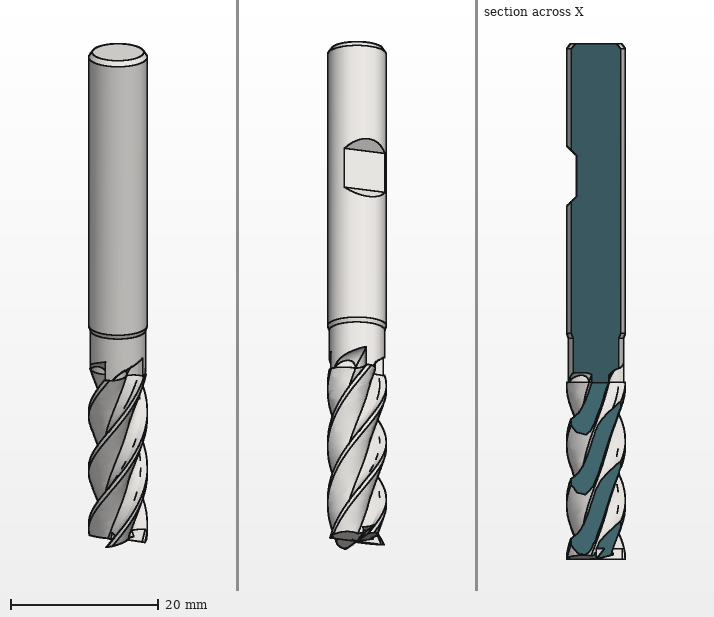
import cadquery as cq
import math

total_length = 70.0
tool_radius = 4.0
cutting_length = 24.0

neck_radius = 3.8
neck_top = 30.0
shank_cone_height = 0.6
top_chamfer_width = 0.5
top_chamfer_height = 0.7

flat_depth = 1.3
flat_length = 5.5
flat_centre_z = 52.0

tooth_count = 4
tooth_pitch = 360 / tooth_count
helix_angle = 37.7
helix_lead = 2 * math.pi * tool_radius / math.tan(math.radians(helix_angle))
cutter_twist = 360 * cutting_length / helix_lead
margin_angle = 10.0
back_radius = 3.1
back_angle = 35.0
flute_radius = 1.95
flute_angle = 65.0
flute_bottom_radius = 2.25
flute_bottom_angle = 80.0
rake_root_radius = 3.1

wheel_radius = 2.0
wheel_axis_distance = flute_radius + wheel_radius
wheel_direction = 70.0
wheel_tilt = 20.0

end_relief_angle = 15.0
gash_height = 1.5
gash_outer_radius = 3.6
web_half_thickness = 0.7


def polar(radius, angle):
    """Point in the XY plane; angle in degrees, counter-clockwise from the -Y direction."""
    turn = math.radians(angle - 90)
    return radius * math.cos(turn), radius * math.sin(turn)


def trace_flute(outline, edge):
    """Continue an outline through the flute between the land at angle edge and the next cutting edge."""
    return (
        outline
        .threePointArc(polar(back_radius, edge + back_angle), polar(flute_radius, edge + flute_angle))
        .threePointArc(
            polar(flute_bottom_radius, edge + flute_bottom_angle),
            polar(rake_root_radius, edge + tooth_pitch),
        )
        .lineTo(*polar(tool_radius, edge + tooth_pitch))
    )


def fluted_section():
    """Cross-section with one cutting edge on each of -Y, +X, +Y and -X."""
    outline = cq.Workplane("XY").moveTo(*polar(tool_radius, 0))
    for tooth in range(tooth_count):
        edge = tooth * tooth_pitch
        outline = outline.threePointArc(
            polar(tool_radius, edge + margin_angle / 2),
            polar(tool_radius, edge + margin_angle),
        )
        outline = trace_flute(outline, edge)
    return outline.close()


def end_relief():
    """Void under the end face of the -X tooth, rising from its edge up to the rake face of the -Y tooth."""
    reach = 2 * tool_radius
    rise = reach * math.tan(math.radians(end_relief_angle))
    return cq.Workplane("YZ").polyline([(0, 0), (-reach, rise), (-reach, 0)]).close().extrude(-reach)


def end_gash():
    """Flat-topped notch in front of the -Y tooth, with its rake side leaning at the helix angle."""
    lean = gash_height * math.tan(math.radians(helix_angle))
    return (
        cq.Workplane("XZ", origin=(0, -web_half_thickness, 0))
        .polyline([(0, 0), (lean, gash_height), (0, gash_height)])
        .close()
        .extrude(gash_outer_radius - web_half_thickness)
    )


def make_cutter():
    cutter = fluted_section().twistExtrude(cutting_length, cutter_twist)
    for tooth in range(tooth_count):
        for void in (end_relief(), end_gash()):
            cutter = cutter.cut(void.rotate((0, 0, 0), (0, 0, 1), tooth * tooth_pitch))
    return cutter


def shank_blank():
    """Neck and shank as one turned shape with a chamfered top."""
    return (
        cq.Workplane("YZ")
        .polyline([
            (0, cutting_length),
            (-neck_radius, cutting_length),
            (-neck_radius, neck_top),
            (-tool_radius, neck_top + shank_cone_height),
            (-tool_radius, total_length - top_chamfer_height),
            (-tool_radius + top_chamfer_width, total_length),
            (0, total_length),
        ])
        .close()
        .revolve(360, (0, 0, 0), (0, 1, 0))
    )


def clamping_flat():
    floor_y = tool_radius - flat_depth
    half_floor = flat_length / 2
    half_mouth = half_floor + flat_depth
    return (
        cq.Workplane("YZ")
        .polyline([
            (floor_y, flat_centre_z - half_floor),
            (tool_radius, flat_centre_z - half_mouth),
            (tool_radius, flat_centre_z + half_mouth),
            (floor_y, flat_centre_z + half_floor),
        ])
        .close()
        .extrude(tool_radius, both=True)
    )


def flute_runout():
    """The flute carried straight up from the top of the cutter, bounded by the wheel that ground it."""
    middle = (margin_angle + tooth_pitch) / 2
    outline = cq.Workplane("XY", origin=(0, 0, cutting_length)).moveTo(*polar(tool_radius, margin_angle))
    flute = (
        trace_flute(outline, 0)
        .threePointArc(polar(tool_radius, middle), polar(tool_radius, margin_angle))
        .close()
        .extrude(2 * wheel_radius)
    )
    wheel = (
        cq.Workplane("YZ", origin=(0, -wheel_axis_distance, cutting_length))
        .circle(wheel_radius)
        .extrude(tool_radius, both=True)
        .rotate((0, 0, cutting_length), (0, -1, cutting_length), wheel_tilt)
        .rotate((0, 0, 0), (0, 0, 1), wheel_direction)
    )
    return flute.intersect(wheel)


def make_shank():
    shank = shank_blank().cut(clamping_flat())
    runout = flute_runout()
    for tooth in range(tooth_count):
        shank = shank.cut(runout.rotate((0, 0, 0), (0, 0, 1), cutter_twist + tooth * tooth_pitch))
    return shank


cutter = make_cutter()
shank = make_shank()

result = cq.Compound.makeCompound([cutter.val(), shank.val()])